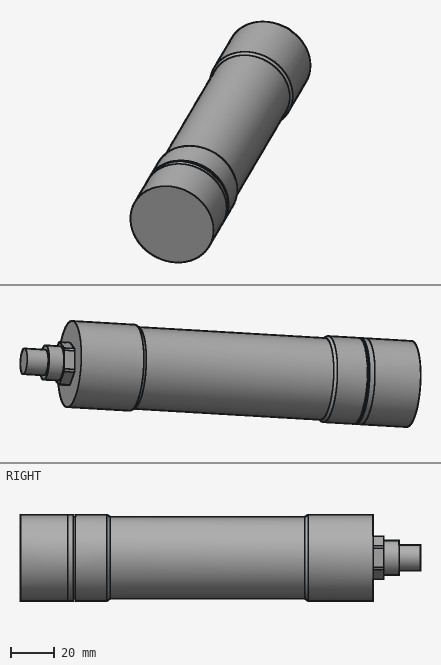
import cadquery as cq

cap_end = 22.0
groove_start = 24.5
groove_width = 1.0
groove_end = groove_start + groove_width
collar_end = 40.0
taper_length = 1.5
rear_face = 163.0
rear_head_length = 30.0
rear_head_start = rear_face - rear_head_length

body_diameter = 40.0
tube_diameter = 38.0
groove_diameter = 38.0

nut_across_flats = 18.0
nut_corner_diameter = 20.0
nut_length = 5.0
barrel_diameter = 16.0
barrel_length = 7.0
tip_diameter = 12.0
tip_length = 10.0


def cylinder_along_y(diameter, start, length):
    """Solid cylinder on the Y axis, from start towards +Y."""
    return (
        cq.Workplane("XZ", origin=(0, start, 0))
        .circle(diameter / 2)
        .extrude(-length)
    )


def make_front_cap():
    """Plain disc that closes the front of the housing."""
    return cylinder_along_y(body_diameter, 0, cap_end)


def make_housing():
    """Grooved front collar, slimmer tube and rear head, joined by conical tapers."""
    body_radius = body_diameter / 2
    tube_radius = tube_diameter / 2
    groove_radius = groove_diameter / 2
    half_profile = [
        (0, cap_end),
        (body_radius, cap_end),
        (body_radius, groove_start),
        (groove_radius, groove_start),
        (groove_radius, groove_end),
        (body_radius, groove_end),
        (body_radius, collar_end),
        (tube_radius, collar_end + taper_length),
        (tube_radius, rear_head_start - taper_length),
        (body_radius, rear_head_start),
        (body_radius, rear_face),
        (0, rear_face),
    ]
    return (
        cq.Workplane("XY")
        .polyline(half_profile)
        .close()
        .revolve(360, (0, 0, 0), (0, 1, 0))
    )


def make_connector():
    """Hexagon nut with rounded-off corners, then a stepped round plug."""
    hexagon = (
        cq.Workplane("XZ", origin=(0, rear_face, 0))
        .polygon(6, nut_across_flats, circumscribed=True)
        .extrude(-nut_length)
    )
    nut = hexagon.intersect(cylinder_along_y(nut_corner_diameter, rear_face, nut_length))
    barrel_start = rear_face + nut_length
    tip_start = barrel_start + barrel_length
    barrel = cylinder_along_y(barrel_diameter, barrel_start, barrel_length)
    tip = cylinder_along_y(tip_diameter, tip_start, tip_length)
    return nut.union(barrel).union(tip)


front_cap = make_front_cap()
housing = make_housing()
connector = make_connector()

result = cq.Compound.makeCompound([front_cap.val(), housing.val(), connector.val()])